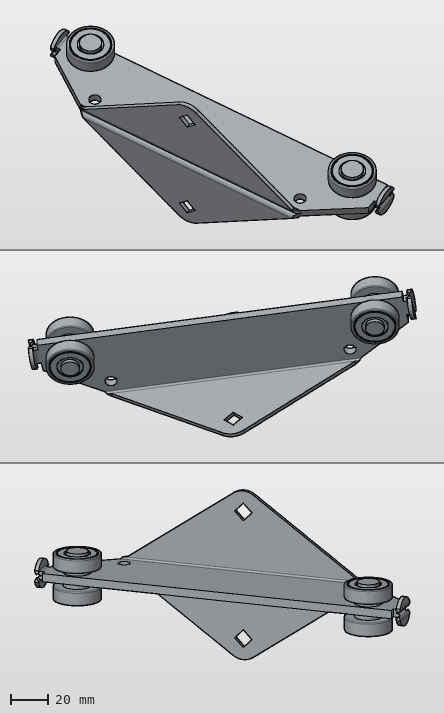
import cadquery as cq
import math

LENGTH = 209.5
DEPTH = 47.3
HEIGHT = 95.0

SHEET = 2.3
BEND_OUTER = 3.4
BEND_INNER = BEND_OUTER - SHEET

PLATE_HALF_LENGTH = 100.0
PLATE_BACK_Y = 43.5
PLATE_CORNER_Y = 24.5
PLATE_FOOT_X = 70.4
HOLE_DIAMETER = 6.5
HOLE_X = 65.4
HOLE_Y = 10.3

FLANGE_FOOT_X = 66.6
FLANGE_TOP_Z = HEIGHT / 2
FLANGE_TIP_RADIUS = 10.0
SQUARE_HOLE_DIAGONAL = 9.8
SQUARE_HOLE_Z = 35.6

TAB_FACE_X = LENGTH / 2
TAB_CENTRE_Y = 35.2
TAB_WIDTH = 15.0
TAB_NECK_WIDTH = 10.0
TAB_TOP_Z = 8.0
TAB_NOTCH_ANGLE = 45

ROLLER_X = 83.4
ROLLER_DIAMETER = 26.0
ROLLER_Y = DEPTH - ROLLER_DIAMETER / 2
ROLLER_INNER_Z = 5.2
ROLLER_OUTER_Z = 13.0
ROLLER_EDGE_RADIUS = 0.52
OUTER_GROOVE_DIAMETERS = (21.5, 22.8)
PIN_GROOVE_DIAMETER = 14.2
GROOVE_DEPTH = 0.8
COLLAR_DIAMETER = 15.0
PIN_END_Z = 14.2
HEAD_DIAMETER = 12.0
TAIL_DIAMETER = 10.0


def mirrored(solid, plane):
    """The solid together with its mirror image."""
    return solid.union(solid.mirror(plane))


def box_between(x_range, y_range, z_range):
    """Box from its lower and upper limits along each axis."""
    lows, highs = zip(x_range, y_range, z_range)
    sizes = [high - low for low, high in zip(lows, highs)]
    return cq.Workplane("XY").box(*sizes, centered=False).translate(lows)


def bend_sector(workplane, side, start_angle, end_angle):
    """Outline of a bend that begins on the flat sheet at 0 and stands upright at 90 degrees.

    The bend axis is BEND_OUTER above the origin of the workplane; side (+1 or -1)
    is the horizontal direction in which the sheet runs into the bend.
    """
    def point(radius, degrees):
        angle = math.radians(degrees)
        return (side * radius * math.sin(angle), BEND_OUTER - radius * math.cos(angle))

    middle_angle = (start_angle + end_angle) / 2
    return (
        workplane.moveTo(*point(BEND_OUTER, start_angle))
        .threePointArc(point(BEND_OUTER, middle_angle), point(BEND_OUTER, end_angle))
        .lineTo(*point(BEND_INNER, end_angle))
        .threePointArc(point(BEND_INNER, middle_angle), point(BEND_INNER, start_angle))
        .close()
    )


def main_plate():
    """Both flat sheet layers with their tapered ends and two round holes."""
    outline = [
        (-PLATE_HALF_LENGTH, PLATE_BACK_Y),
        (-PLATE_HALF_LENGTH, PLATE_CORNER_Y),
        (-PLATE_FOOT_X, BEND_OUTER),
        (PLATE_FOOT_X, BEND_OUTER),
        (PLATE_HALF_LENGTH, PLATE_CORNER_Y),
        (PLATE_HALF_LENGTH, PLATE_BACK_Y),
    ]
    plate = cq.Workplane("XY").polyline(outline).close().extrude(SHEET, both=True)
    holes = (
        cq.Workplane("XY")
        .pushPoints([(-HOLE_X, HOLE_Y), (HOLE_X, HOLE_Y)])
        .circle(HOLE_DIAMETER / 2)
        .extrude(SHEET, both=True)
    )
    return plate.cut(holes)


def flange_bend():
    """Upper bend between plate and flange, its ends sloping inward towards the front."""
    section = cq.Workplane("YZ", origin=(0, BEND_OUTER, 0))
    bend = bend_sector(section, -1, 0, 90).extrude(PLATE_FOOT_X, both=True)
    plan = [
        (-PLATE_FOOT_X, BEND_OUTER),
        (-FLANGE_FOOT_X, 0),
        (FLANGE_FOOT_X, 0),
        (PLATE_FOOT_X, BEND_OUTER),
    ]
    return bend.intersect(cq.Workplane("XY").polyline(plan).close().extrude(BEND_OUTER))


def flange():
    """Upper half of the diamond: straight sides tangent to a rounded tip."""
    tip_centre_z = FLANGE_TOP_Z - FLANGE_TIP_RADIUS
    rise = tip_centre_z - BEND_OUTER
    slope = math.atan2(rise, FLANGE_FOOT_X)
    slope += math.asin(FLANGE_TIP_RADIUS / math.hypot(FLANGE_FOOT_X, rise))
    tangent_x = FLANGE_TIP_RADIUS * math.sin(slope)
    tangent_z = tip_centre_z + FLANGE_TIP_RADIUS * math.cos(slope)
    sheet = (
        cq.Workplane("XZ")
        .moveTo(-FLANGE_FOOT_X, BEND_OUTER)
        .lineTo(-tangent_x, tangent_z)
        .threePointArc((0, FLANGE_TOP_Z), (tangent_x, tangent_z))
        .lineTo(FLANGE_FOOT_X, BEND_OUTER)
        .close()
        .extrude(-SHEET)
    )
    square_hole = (
        cq.Workplane("XZ")
        .center(0, SQUARE_HOLE_Z)
        .polygon(4, SQUARE_HOLE_DIAGONAL)
        .extrude(-SHEET)
    )
    return sheet.cut(square_hole)


def end_tab():
    """Upper half of the right-hand tab: neck, bend and rounded upright face."""
    bend_x = TAB_FACE_X - BEND_OUTER
    neck_y = (TAB_CENTRE_Y - TAB_NECK_WIDTH / 2, TAB_CENTRE_Y + TAB_NECK_WIDTH / 2)
    neck = box_between((PLATE_HALF_LENGTH, bend_x), neck_y, (0, SHEET))
    section = cq.Workplane("XZ", origin=(bend_x, TAB_CENTRE_Y, 0))
    narrow_bend = bend_sector(section, 1, 0, 90).extrude(TAB_NECK_WIDTH / 2, both=True)
    wide_bend = bend_sector(section, 1, TAB_NOTCH_ANGLE, 90).extrude(TAB_WIDTH / 2, both=True)
    face = (
        cq.Workplane("YZ", origin=(TAB_FACE_X, TAB_CENTRE_Y, 0))
        .moveTo(-TAB_WIDTH / 2, BEND_OUTER)
        .threePointArc((0, TAB_TOP_Z), (TAB_WIDTH / 2, BEND_OUTER))
        .close()
        .extrude(-SHEET)
    )
    return neck.union(narrow_bend).union(wide_bend).union(face)


def cylinder(diameter, start_z, end_z):
    """Upright cylinder on the Z axis."""
    return cq.Workplane("XY", origin=(0, 0, start_z)).circle(diameter / 2).extrude(end_z - start_z)


def face_groove(inner_diameter, outer_diameter):
    """Annular groove cutter for the outer face of a roller."""
    floor_z = ROLLER_OUTER_Z - GROOVE_DEPTH
    outside = cylinder(outer_diameter, floor_z, ROLLER_OUTER_Z)
    return outside.cut(cylinder(inner_diameter, floor_z, ROLLER_OUTER_Z))


def roller(pin_diameter):
    """Right-hand roller above the plate, with its collar and the end of its pin."""
    wheel = cylinder(ROLLER_DIAMETER, ROLLER_INNER_Z, ROLLER_OUTER_Z)
    wheel = wheel.edges("%CIRCLE").fillet(ROLLER_EDGE_RADIUS)
    wheel = wheel.cut(face_groove(*OUTER_GROOVE_DIAMETERS))
    wheel = wheel.cut(face_groove(pin_diameter, PIN_GROOVE_DIAMETER))
    collar = cylinder(COLLAR_DIAMETER, 0, ROLLER_INNER_Z)
    pin = cylinder(pin_diameter, 0, PIN_END_Z)
    return wheel.union(collar).union(pin).translate((ROLLER_X, ROLLER_Y, 0))


upper_sheet = flange_bend().union(flange()).union(mirrored(end_tab(), "YZ"))
head_roller = roller(HEAD_DIAMETER)
tail_roller = roller(TAIL_DIAMETER).mirror("XY")

result = (
    main_plate()
    .union(mirrored(upper_sheet, "XY"))
    .union(mirrored(head_roller, "YZ"))
    .union(mirrored(tail_roller, "YZ"))
)